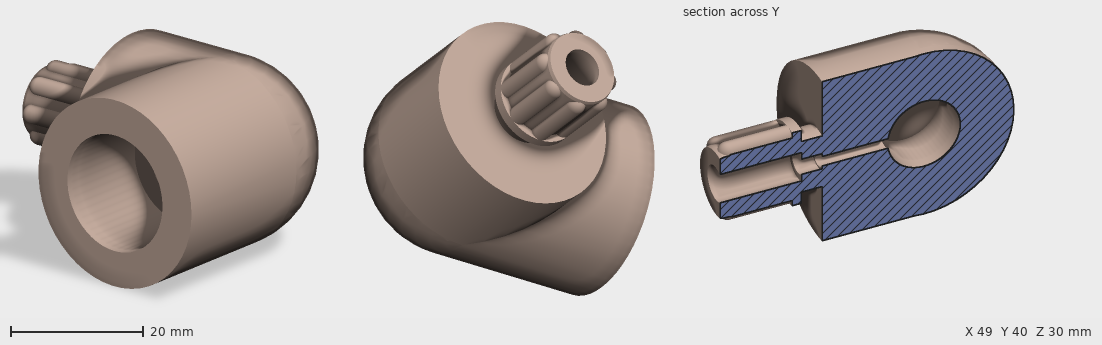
import cadquery as cq

elbow_diameter = 30.0
inlet_length = 17.0
socket_leg_length = 25.0
socket_diameter = 18.6
socket_depth = 16.0
bore_diameter = 12.0

total_length = 49.0
neck_diameter = 10.0
neck_length = 3.4
knob_diameter = 11.8
knob_edge_height = 0.55
knob_edge_width = 0.2
collar_diameter = 14.0
collar_length = 1.6

rib_count = 8
rib_radius = 1.5
rib_setback = 1.9

recess_diameter = 6.0
step_diameter = 4.0
passage_diameter = 3.4

elbow_radius = elbow_diameter / 2
tip_x = elbow_radius - total_length
inlet_x = -inlet_length
collar_end_x = inlet_x - neck_length
collar_start_x = collar_end_x - collar_length
rib_offset = collar_diameter / 2 - rib_radius


def rod_x(diameter, start, end):
    """Cylinder on the X axis between two X positions."""
    return cq.Workplane("YZ", origin=(start, 0, 0)).circle(diameter / 2).extrude(end - start)


def rod_y(diameter, start, end):
    """Cylinder on the Y axis between two Y positions."""
    return cq.Workplane("XZ", origin=(0, end, 0)).circle(diameter / 2).extrude(end - start)


def make_elbow():
    inlet_leg = rod_x(elbow_diameter, inlet_x, 0)
    socket_leg = rod_y(elbow_diameter, -socket_leg_length, 0)
    corner = cq.Workplane("XY").sphere(elbow_radius)
    return inlet_leg.union(socket_leg).union(corner)


def make_rib():
    """Rib at the top of the knob, with a ball-shaped outer end."""
    rib_start_x = tip_x + rib_setback
    rib = rod_x(2 * rib_radius, rib_start_x, collar_start_x)
    rounded_end = cq.Workplane("XY").sphere(rib_radius).translate((rib_start_x, 0, 0))
    return rib.union(rounded_end).translate((0, 0, rib_offset))


def make_knob():
    knob = rod_x(knob_diameter, tip_x, collar_end_x)
    knob = knob.faces("<X").chamfer(knob_edge_height, knob_edge_width)
    knob = knob.union(rod_x(collar_diameter, collar_start_x, collar_end_x))
    rib = make_rib()
    for index in range(rib_count):
        angle = index * 360 / rib_count
        knob = knob.union(rib.rotate((0, 0, 0), (1, 0, 0), angle))
    return knob


neck = rod_x(neck_diameter, collar_end_x, inlet_x)
body = make_elbow().union(neck).union(make_knob())

body = body.cut(rod_y(socket_diameter, -socket_leg_length, socket_depth - socket_leg_length))
body = body.cut(rod_y(bore_diameter, -socket_leg_length, bore_diameter / 2))

body = body.cut(rod_x(recess_diameter, tip_x, collar_end_x))
body = body.cut(rod_x(step_diameter, collar_end_x, inlet_x))
body = body.cut(rod_x(passage_diameter, inlet_x, 0))

result = body